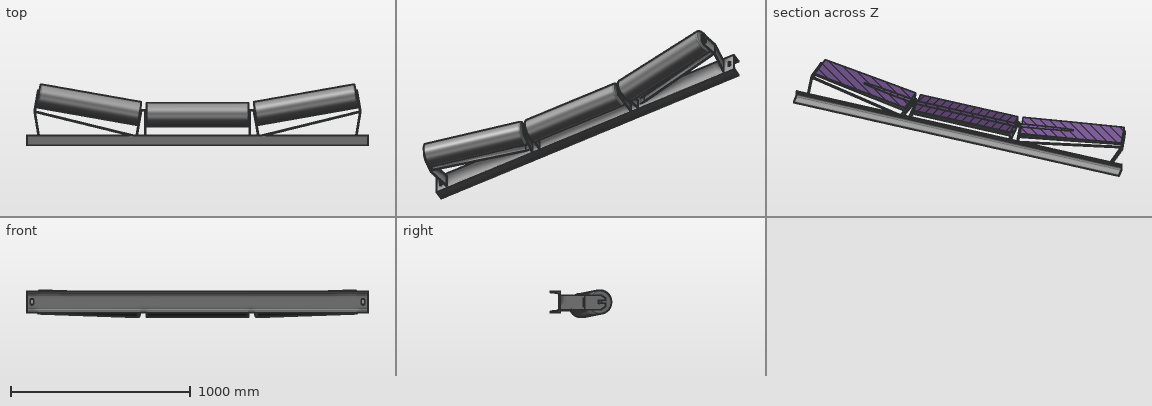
import cadquery as cq
import math

BEAM_LENGTH = 1900.0
BEAM_DEPTH = 55.0
BEAM_HEIGHT = 120.0
BEAM_BOTTOM = 27.0
BEAM_MIDDLE = BEAM_BOTTOM + BEAM_HEIGHT / 2
WEB_THICKNESS = 8.0
FLANGE_ROOT = 13.0
FLANGE_TIP = 8.0
ROOT_FILLET = 10.0
TIP_FILLET = 4.0

SLOT_WIDTH = 15.0
SLOT_LENGTH = 32.0
SLOT_INSET = 28.0

ROLLER_DIAMETER = 133.0
ROLLER_LENGTH = 570.0
ROLLER_EDGE_FILLET = 5.0
MIDDLE_CENTRE = (0.0, 171.0, ROLLER_DIAMETER / 2)
SIDE_CENTRE = (605.0, 226.0, 76.0)
TROUGH_ANGLE = 10.0
FORWARD_TILT = 2.0

SHAFT_DIAMETER = 19.0
SHAFT_FLATS = 17.0

PLATE = 5.0
ROLLER_GAP = 4.0
PLATE_INNER = ROLLER_LENGTH / 2 + ROLLER_GAP
PLATE_OUTER = PLATE_INNER + PLATE
SHAFT_LENGTH = 2 * PLATE_OUTER
SHAFT_SLOT_DEPTH = 57.0
SHAFT_SLOT_MARGIN = 2.8

INNER_BRACKET_WIDTH = 60.0
INNER_BRACKET_TOP = 198.0

OUTER_BRACKET_WIDTH = 80.0
OUTER_BRACKET_MIDDLE = 84.0
OUTER_BRACKET_FOOT_X = 887.0
OUTER_BRACKET_KINK_Y = 190.0
OUTER_BRACKET_TIP = 30.0
TIP_CHAMFER_ALONG = 25.0
TIP_CHAMFER_ACROSS = 17.0

STRUT_WIDTH = 48.0
STRUT_FOOT_X = 353.0

COS_TROUGH = math.cos(math.radians(TROUGH_ANGLE))
SIN_TROUGH = math.sin(math.radians(TROUGH_ANGLE))


def mirrored(body):
    """Copy of a body on the other side of the YZ plane."""
    return body.mirror("YZ")


def place_middle(body):
    """Move a body built along X about the origin onto the middle roller axis."""
    return body.translate(MIDDLE_CENTRE)


def place_right(body):
    """Move a body built along X about the origin onto the right roller axis."""
    tilted = body.rotate((0, 0, 0), (0, 1, 0), -FORWARD_TILT)
    troughed = tilted.rotate((0, 0, 0), (0, 0, 1), TROUGH_ANGLE)
    return troughed.translate(SIDE_CENTRE)


def place_left(body):
    """Move a body built along X about the origin onto the left roller axis."""
    return mirrored(place_right(body))


PLACEMENTS = (place_left, place_middle, place_right)


def side_point(along, up):
    """XY point given along and square to the right roller axis, from the roller centre."""
    x = SIDE_CENTRE[0] + along * COS_TROUGH - up * SIN_TROUGH
    y = SIDE_CENTRE[1] + along * SIN_TROUGH + up * COS_TROUGH
    return (x, y)


def side_point_at_height(along, y):
    """XY point at height y on the line square to the right roller axis."""
    up = (y - SIDE_CENTRE[1] - along * SIN_TROUGH) / COS_TROUGH
    return side_point(along, up)


def plate_from_outline(points, width, middle):
    """Extrude an XY outline along Z, centred on the given Z."""
    start = cq.Workplane("XY", origin=(0, 0, middle - width / 2))
    return start.polyline(points).close().extrude(width)


def make_beam():
    half = BEAM_HEIGHT / 2
    web_front = BEAM_DEPTH - WEB_THICKNESS
    outline = [
        (BEAM_DEPTH, -half),
        (0, -half),
        (0, -half + FLANGE_TIP),
        (web_front, -half + FLANGE_ROOT),
        (web_front, half - FLANGE_ROOT),
        (0, half - FLANGE_TIP),
        (0, half),
        (BEAM_DEPTH, half),
    ]
    section = cq.Workplane("YZ", origin=(-BEAM_LENGTH / 2, 0, BEAM_MIDDLE))
    beam = section.polyline(outline).close().extrude(BEAM_LENGTH)

    reach = WEB_THICKNESS / 8
    for fillet, y, z in (
        (ROOT_FILLET, web_front, half - FLANGE_ROOT),
        (TIP_FILLET, 0, half - FLANGE_TIP),
    ):
        for side in (-1, 1):
            edge_z = BEAM_MIDDLE + side * z
            corner = cq.selectors.BoxSelector(
                (-reach, y - reach, edge_z - reach), (reach, y + reach, edge_z + reach)
            )
            beam = beam.edges(corner).fillet(fillet)

    slot_x = BEAM_LENGTH / 2 - SLOT_INSET
    slots = (
        cq.Workplane("XZ", origin=(0, 0, BEAM_MIDDLE))
        .pushPoints([(-slot_x, 0), (slot_x, 0)])
        .slot2D(SLOT_LENGTH, SLOT_WIDTH, 90)
        .extrude(-BEAM_DEPTH)
    )
    return beam.cut(slots)


def make_inner_bracket():
    """Folded plate carrying the middle roller on one leg and the right roller on the other."""
    bridge_under = INNER_BRACKET_TOP - PLATE
    outline = [
        (PLATE_INNER, BEAM_DEPTH),
        (PLATE_INNER, INNER_BRACKET_TOP),
        side_point_at_height(-PLATE_INNER, INNER_BRACKET_TOP),
        side_point_at_height(-PLATE_INNER, BEAM_DEPTH),
        side_point_at_height(-PLATE_OUTER, BEAM_DEPTH),
        side_point_at_height(-PLATE_OUTER, bridge_under),
        (PLATE_OUTER, bridge_under),
        (PLATE_OUTER, BEAM_DEPTH),
    ]
    return plate_from_outline(outline, INNER_BRACKET_WIDTH, MIDDLE_CENTRE[2])


def make_outer_bracket():
    """Kinked end plate with a chamfered tip, carrying the outer end of the right roller."""
    tip_outer = side_point(PLATE_OUTER, OUTER_BRACKET_TIP)
    outline = [
        (OUTER_BRACKET_FOOT_X, BEAM_DEPTH),
        side_point_at_height(PLATE_OUTER, OUTER_BRACKET_KINK_Y),
        tip_outer,
        side_point(PLATE_INNER, OUTER_BRACKET_TIP),
        side_point_at_height(PLATE_INNER, OUTER_BRACKET_KINK_Y),
        (OUTER_BRACKET_FOOT_X - PLATE, BEAM_DEPTH),
    ]
    bracket = plate_from_outline(outline, OUTER_BRACKET_WIDTH, OUTER_BRACKET_MIDDLE)

    tip_y = tip_outer[1]
    for side in (-1, 1):
        edge_z = OUTER_BRACKET_MIDDLE + side * OUTER_BRACKET_WIDTH / 2
        corner = [
            (tip_y - TIP_CHAMFER_ALONG, edge_z),
            (tip_y, edge_z),
            (tip_y, edge_z - side * TIP_CHAMFER_ACROSS),
        ]
        wedge = cq.Workplane("YZ").polyline(corner).close().extrude(BEAM_LENGTH / 2)
        bracket = bracket.cut(wedge)
    return bracket


def make_strut():
    """Flat brace from the kink of the outer bracket down to the beam."""
    kink_x, kink_y = side_point_at_height(PLATE_INNER, OUTER_BRACKET_KINK_Y)
    slope = math.atan2(kink_y - BEAM_DEPTH, kink_x - STRUT_FOOT_X)
    foot_length = PLATE / math.sin(slope)
    outline = [
        (STRUT_FOOT_X, BEAM_DEPTH),
        (kink_x, kink_y),
        (kink_x, kink_y - PLATE / math.cos(slope)),
        (STRUT_FOOT_X + foot_length, BEAM_DEPTH),
    ]
    return plate_from_outline(outline, STRUT_WIDTH, OUTER_BRACKET_MIDDLE)


def make_shaft_slots():
    """Cutters for the two open slots at the ends of one shaft."""
    depth = SHAFT_SLOT_DEPTH + SHAFT_DIAMETER / 2
    length = PLATE + 2 * SHAFT_SLOT_MARGIN
    offset = (PLATE_INNER + PLATE_OUTER) / 2
    return (
        cq.Workplane("XY", origin=(0, SHAFT_SLOT_DEPTH - depth / 2, 0))
        .pushPoints([(-offset, 0), (offset, 0)])
        .box(length, depth, SHAFT_FLATS)
    )


def make_frame():
    """Beam with its brackets and struts welded on as one solid."""
    frame = make_beam()
    for part in (make_inner_bracket(), make_outer_bracket(), make_strut()):
        frame = frame.union(part).union(mirrored(part))
    for place in PLACEMENTS:
        frame = frame.cut(place(make_shaft_slots()))
    return frame


def make_roller():
    """Roller along X about the origin, with rounded rims and a through bore for its shaft."""
    start = cq.Workplane("YZ", origin=(-ROLLER_LENGTH / 2, 0, 0))
    drum = start.circle(ROLLER_DIAMETER / 2).extrude(ROLLER_LENGTH)
    rounded = drum.edges("%CIRCLE").fillet(ROLLER_EDGE_FILLET)
    bore = start.circle(SHAFT_DIAMETER / 2).extrude(ROLLER_LENGTH)
    return rounded.cut(bore)


def make_shaft():
    """Shaft along X about the origin, flattened on both Z sides where it leaves the roller."""
    start = cq.Workplane("YZ", origin=(-SHAFT_LENGTH / 2, 0, 0))
    bar = start.circle(SHAFT_DIAMETER / 2).extrude(SHAFT_LENGTH)
    flat_bar = cq.Workplane("XY").box(SHAFT_LENGTH, SHAFT_DIAMETER, SHAFT_FLATS)
    round_bar = cq.Workplane("XY").box(ROLLER_LENGTH, SHAFT_DIAMETER, SHAFT_DIAMETER)
    return bar.intersect(flat_bar.union(round_bar))


frame = make_frame()
rollers = [place(make_roller()) for place in PLACEMENTS]
shafts = [place(make_shaft()) for place in PLACEMENTS]

result = cq.Compound.makeCompound(
    [
        frame.solids().val(),
        *[roller.solids().val() for roller in rollers],
        *[shaft.solids().val() for shaft in shafts],
    ]
)